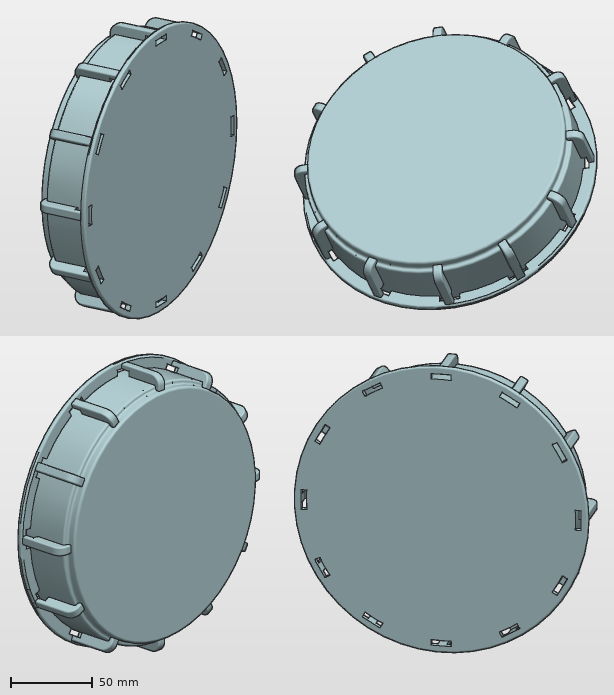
import cadquery as cq
import math

CAP_LENGTH = 38.2
FLANGE_DIAMETER = 186.2
WALL_DIAMETER = 170.2
DISC_DIAMETER = 163.8

DISC_EDGE_RADIUS = 1.7
STEP_START = 4.3
STEP_ARC_RADIUS = 1.5

FLANGE_THICKNESS = 3.7
FLANGE_EDGE_RADIUS = 1.3

RIB_COUNT = 12
RIB_WIDTH = 5.5
RIB_START = 2.8
RIB_EDGE_RADIUS = 1.0
RIB_EMBED = 1.9

WINDOW_WIDTH = 12.8
WINDOW_HEIGHT = 3.4
WINDOW_START = 28.3
WINDOW_OVERLAP = 1.0

FLANGE_RADIUS = FLANGE_DIAMETER / 2
WALL_RADIUS = WALL_DIAMETER / 2
DISC_RADIUS = DISC_DIAMETER / 2
FLANGE_START = CAP_LENGTH - FLANGE_THICKNESS
RIB_OUTER_RADIUS = FLANGE_RADIUS - FLANGE_EDGE_RADIUS
RIB_NOSE_RADIUS = RIB_OUTER_RADIUS - WALL_RADIUS
RIB_PITCH = 360.0 / RIB_COUNT
ARC_MIDDLE = math.sin(math.radians(45))


def turn_about_axis(shape, angle):
    """Turn a shape about the cap's X axis."""
    return shape.rotate((0, 0, 0), (1, 0, 0), angle)


def make_body():
    """Revolve the disc, shoulder and outer wall about X."""
    shoulder_x = STEP_START + STEP_ARC_RADIUS
    shoulder_inner_radius = DISC_RADIUS + STEP_ARC_RADIUS
    shoulder_outer_radius = WALL_RADIUS - STEP_ARC_RADIUS
    wall_start = shoulder_x + STEP_ARC_RADIUS
    bend = STEP_ARC_RADIUS * ARC_MIDDLE
    edge_bend = DISC_EDGE_RADIUS * (1 - ARC_MIDDLE)
    return (
        cq.Workplane("XY")
        .moveTo(0, 0)
        .lineTo(0, DISC_RADIUS - DISC_EDGE_RADIUS)
        .threePointArc((edge_bend, DISC_RADIUS - edge_bend), (DISC_EDGE_RADIUS, DISC_RADIUS))
        .lineTo(STEP_START, DISC_RADIUS)
        .threePointArc(
            (STEP_START + bend, shoulder_inner_radius - bend),
            (shoulder_x, shoulder_inner_radius),
        )
        .lineTo(shoulder_x, shoulder_outer_radius)
        .threePointArc(
            (wall_start - bend, shoulder_outer_radius + bend),
            (wall_start, WALL_RADIUS),
        )
        .lineTo(CAP_LENGTH, WALL_RADIUS)
        .lineTo(CAP_LENGTH, 0)
        .close()
        .revolve(360, (0, 0, 0), (1, 0, 0))
    )


def make_flange():
    """Solid disc with rounded rims; its middle merges into the body."""
    return (
        cq.Workplane("YZ")
        .workplane(offset=FLANGE_START)
        .circle(FLANGE_RADIUS)
        .extrude(FLANGE_THICKNESS)
        .edges()
        .fillet(FLANGE_EDGE_RADIUS)
    )


def make_rib():
    """Grip rib on the +Z side with a round nose and softened outer edges."""
    foot_radius = DISC_RADIUS - RIB_EMBED
    plate = (
        cq.Workplane("XZ")
        .moveTo(RIB_START, foot_radius)
        .lineTo(RIB_START, RIB_OUTER_RADIUS - RIB_NOSE_RADIUS)
        .radiusArc((RIB_START + RIB_NOSE_RADIUS, RIB_OUTER_RADIUS), RIB_NOSE_RADIUS)
        .lineTo(CAP_LENGTH - FLANGE_EDGE_RADIUS, RIB_OUTER_RADIUS)
        .lineTo(CAP_LENGTH - FLANGE_EDGE_RADIUS, foot_radius)
        .close()
        .extrude(RIB_WIDTH / 2, both=True)
    )
    nose_edges = plate.faces("<X").edges("|Z")
    return nose_edges.fillet(RIB_EDGE_RADIUS)


def make_window():
    """Cutter on the +Z side for one window; it reaches into the wall's own space."""
    half_width = WINDOW_WIDTH / 2
    foot_radius = math.sqrt(WALL_RADIUS**2 - half_width**2) - WINDOW_OVERLAP
    top_radius = WALL_RADIUS + WINDOW_HEIGHT
    return (
        cq.Workplane("XZ")
        .moveTo(WINDOW_START, foot_radius)
        .lineTo(WINDOW_START, top_radius)
        .lineTo(CAP_LENGTH, top_radius)
        .lineTo(CAP_LENGTH, foot_radius)
        .close()
        .extrude(half_width, both=True)
    )


def make_cap():
    """Flange and ribs pierced by the windows, then filled with the body, as one solid."""
    grip = make_flange()
    rib = make_rib()
    window = make_window()
    for index in range(RIB_COUNT):
        grip = grip.union(turn_about_axis(rib, index * RIB_PITCH))
    for index in range(RIB_COUNT):
        grip = grip.cut(turn_about_axis(window, index * RIB_PITCH))
    return make_body().union(grip)


cap = make_cap()
result = cq.Compound.makeCompound(cap.solids().vals())